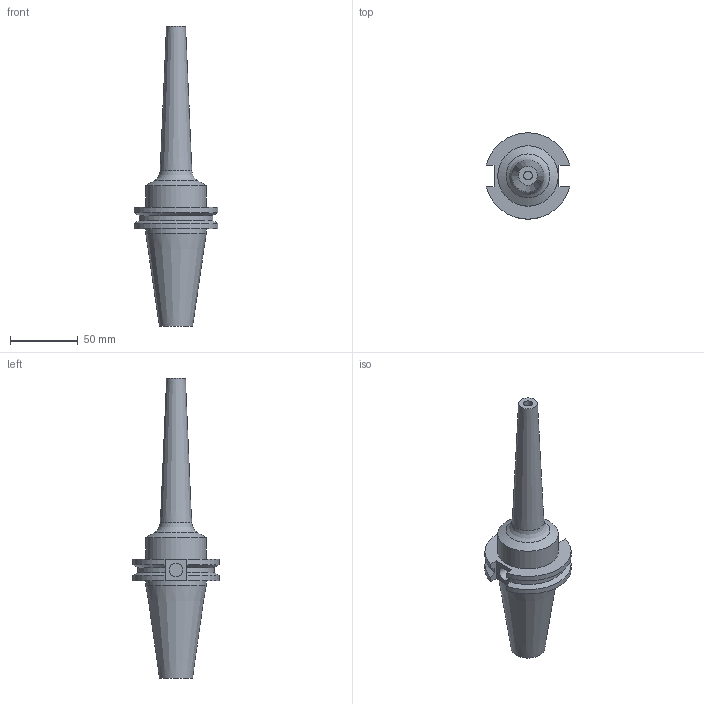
import cadquery as cq
import math


GAUGE_RADIUS = 44.45 / 2
TAPER_PER_DIAMETER = 7 / 24
SHANK_LENGTH = 68.25
SHANK_END_RADIUS = GAUGE_RADIUS - SHANK_LENGTH * TAPER_PER_DIAMETER / 2

FLANGE_RADIUS = 63.5 / 2
FLANGE_BOTTOM = 3.18
FLANGE_THICKNESS = 15.87
FLANGE_TOP = FLANGE_BOTTOM + FLANGE_THICKNESS
FLANGE_MIDDLE = FLANGE_BOTTOM + FLANGE_THICKNESS / 2
GROOVE_ROOT_RADIUS = 56.36 / 2
GROOVE_ROOT_WIDTH = 3.75
GROOVE_FLANK_ANGLE = math.radians(30)
GROOVE_FLANK_RISE = (FLANGE_RADIUS - GROOVE_ROOT_RADIUS) * math.tan(GROOVE_FLANK_ANGLE)
GROOVE_MOUTH_WIDTH = GROOVE_ROOT_WIDTH + 2 * GROOVE_FLANK_RISE

SLOT_WIDTH = 16.1
LEFT_FLOOR_DISTANCE = 25.0
RIGHT_FLOOR_DISTANCE = 22.8
SIDE_HOLE_DIAMETER = 10.0
SIDE_HOLE_DEPTH = 10.0

COLLAR_RADIUS = GAUGE_RADIUS
COLLAR_TOP = 35.0
SHOULDER_ANGLE = math.radians(30)
NOSE_Z = 152.4
NOSE_RADIUS = 7.0
NECK_ANGLE = math.radians(2.5)
NECK_FILLET_RADIUS = 9.0

BORE_DIAMETER = 6.35
BORE_DEPTH = 25.0


def neck_fillet_points():
    """Start, middle and end (r, z) of the arc tangent to the shoulder and the neck."""
    shoulder_slope = math.tan(SHOULDER_ANGLE)
    neck_slope = math.tan(NECK_ANGLE)
    shoulder_at_axis = (
        COLLAR_TOP + COLLAR_RADIUS * shoulder_slope + NECK_FILLET_RADIUS / math.cos(SHOULDER_ANGLE)
    )
    neck_at_zero = NOSE_RADIUS + NOSE_Z * neck_slope + NECK_FILLET_RADIUS / math.cos(NECK_ANGLE)
    center_r = (neck_at_zero - shoulder_at_axis * neck_slope) / (1 - shoulder_slope * neck_slope)
    center_z = shoulder_at_axis - center_r * shoulder_slope

    shoulder_direction = math.radians(270) - SHOULDER_ANGLE
    neck_direction = math.radians(180) + NECK_ANGLE
    middle_direction = (shoulder_direction + neck_direction) / 2
    return [
        (
            center_r + NECK_FILLET_RADIUS * math.cos(direction),
            center_z + NECK_FILLET_RADIUS * math.sin(direction),
        )
        for direction in (shoulder_direction, middle_direction, neck_direction)
    ]


def make_body():
    """Revolve the complete half profile: shank, flange with groove, collar and neck."""
    fillet_start, fillet_middle, fillet_end = neck_fillet_points()
    return (
        cq.Workplane("XZ")
        .moveTo(0, -SHANK_LENGTH)
        .lineTo(SHANK_END_RADIUS, -SHANK_LENGTH)
        .lineTo(GAUGE_RADIUS, 0)
        .lineTo(GAUGE_RADIUS, FLANGE_BOTTOM)
        .lineTo(FLANGE_RADIUS, FLANGE_BOTTOM)
        .lineTo(FLANGE_RADIUS, FLANGE_MIDDLE - GROOVE_MOUTH_WIDTH / 2)
        .lineTo(GROOVE_ROOT_RADIUS, FLANGE_MIDDLE - GROOVE_ROOT_WIDTH / 2)
        .lineTo(GROOVE_ROOT_RADIUS, FLANGE_MIDDLE + GROOVE_ROOT_WIDTH / 2)
        .lineTo(FLANGE_RADIUS, FLANGE_MIDDLE + GROOVE_MOUTH_WIDTH / 2)
        .lineTo(FLANGE_RADIUS, FLANGE_TOP)
        .lineTo(COLLAR_RADIUS, FLANGE_TOP)
        .lineTo(COLLAR_RADIUS, COLLAR_TOP)
        .lineTo(*fillet_start)
        .threePointArc(fillet_middle, fillet_end)
        .lineTo(NOSE_RADIUS, NOSE_Z)
        .lineTo(0, NOSE_Z)
        .close()
        .revolve(360, (0, 0), (0, 1))
    )


def make_drive_slot(side, floor_distance):
    """Cutter for one drive slot; side is -1 for -X and +1 for +X."""
    length = FLANGE_RADIUS
    return (
        cq.Workplane("XY")
        .box(length, SLOT_WIDTH, FLANGE_THICKNESS)
        .translate((side * (floor_distance + length / 2), 0, FLANGE_MIDDLE))
    )


def make_side_hole():
    """Cutter for the flat-bottomed round hole in the -X slot floor."""
    return (
        cq.Workplane("YZ", origin=(-LEFT_FLOOR_DISTANCE, 0, FLANGE_MIDDLE))
        .circle(SIDE_HOLE_DIAMETER / 2)
        .extrude(SIDE_HOLE_DEPTH)
    )


def make_bore():
    """Cutter for the blind tool bore."""
    return (
        cq.Workplane("XY", origin=(0, 0, NOSE_Z))
        .circle(BORE_DIAMETER / 2)
        .extrude(-BORE_DEPTH)
    )


result = (
    make_body()
    .cut(make_drive_slot(-1, LEFT_FLOOR_DISTANCE))
    .cut(make_drive_slot(1, RIGHT_FLOOR_DISTANCE))
    .cut(make_side_hole())
    .cut(make_bore())
)